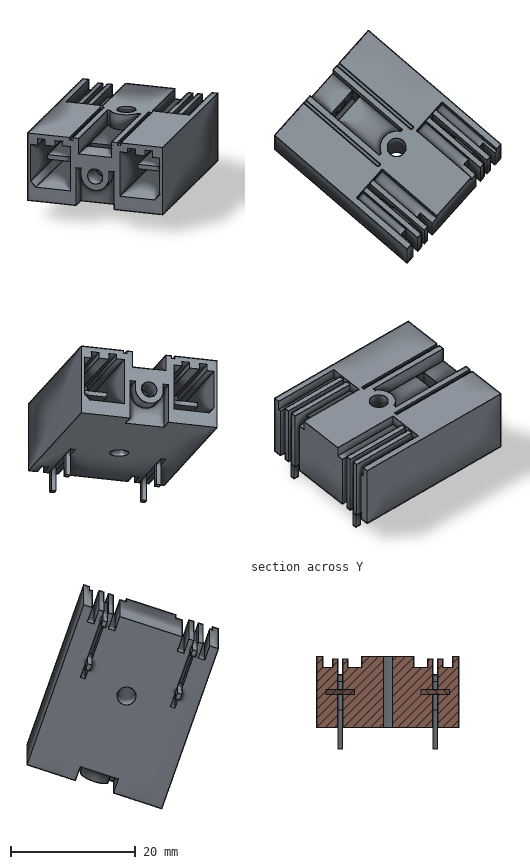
import cadquery as cq

WIDTH = 22.87
LENGTH = 28.3
HEIGHT = 11.43
PIN_PROJECTION = 3.48

STATION_X = 15.25 / 2

POCKET_OUTER_X = WIDTH / 2 - 0.55
POCKET_INNER_X = 4.2
POCKET_FLOOR_Z = 2.38
POCKET_LENGTH = 15.56
POCKET_CHAMFER_WIDTH = 0.88
POCKET_CHAMFER_HEIGHT = 0.95
POCKET_OUTER_TOP_Z = HEIGHT - 1.87
POCKET_INNER_TOP_Z = HEIGHT - 1.53
KEY_TOP_Z = HEIGHT - 1.75
KEYWAY_TOP_Z = HEIGHT - 0.8
KEYWAY_NEAR = 0.82
KEYWAY_FAR = 2.12

RECESS_FRONT_Y = 16.65
RECESS_OUTER_X = 10.41
RECESS_DEPTH = 1.75
FIN_OUTER_HALF = 1.22
FIN_TOP_Z = HEIGHT - 0.42
NOTCH_HALF = 2.32
NOTCH_LENGTH = 2.52

SHEET = 0.75
BLADE_WIDTH = 4.53
BLADE_TOP_Z = HEIGHT - 5.35
BLADE_TIP_Y = 5.65
PLATE_FRONT_Y = 19.15
PLATE_REAR_Y = LENGTH - 0.55
PLATE_BOTTOM_Z = 2.83
PLATE_TOP_Z = 8.5
SHOULDER_Y = 21.65
SHOULDER_Z = 7.35
SLOPE_FRONT_Y = 25.47
SLOPE_DROP = 1.13
PIN_LENGTH = 1.0
PIN_PITCH = 7.65

CHANNEL_WIDTH = 5.6
CHANNEL_DEPTH = 2.63
CHANNEL_LENGTH = 14.8
HOLE_Y = 16.05
HOLE_DIAMETER = 3.0
BOSS_RADIUS = 2.65

BORE_Z = HEIGHT - 6.17
BORE_DIAMETER = 2.55
HUB_RADIUS = 2.35
UNDERCUT_WIDTH = 6.45
UNDERCUT_TOP_Z = HEIGHT - 5.0
UNDERCUT_LENGTH = 2.45
NUT_WIDTH = 5.35
NUT_THICKNESS = 1.55
NUT_FRONT_Y = 4.2

GROOVE_INNER_X = 3.75
GROOVE_WIDTH = 0.57
GROOVE_DEPTH = 0.42
GROOVE_LENGTH = 15.9


def block(x_range, y_range, z_range):
    """Box between the given limits on each axis."""
    (x0, x1), (y0, y1), (z0, z1) = x_range, y_range, z_range
    return cq.Workplane("XY").box(x1 - x0, y1 - y0, z1 - z0, centered=False).translate((x0, y0, z0))


def centred(width, x=0):
    """Limits of a span of the given width about x."""
    return (x - width / 2, x + width / 2)


def left_copy(shape):
    """Mirror image of a right-hand shape."""
    return shape.mirror("YZ")


def plug_pocket():
    """Right-hand plug pocket with two keyways in its roof."""
    outline = [
        (POCKET_INNER_X, POCKET_FLOOR_Z),
        (POCKET_OUTER_X - POCKET_CHAMFER_WIDTH, POCKET_FLOOR_Z),
        (POCKET_OUTER_X, POCKET_FLOOR_Z + POCKET_CHAMFER_HEIGHT),
        (POCKET_OUTER_X, POCKET_OUTER_TOP_Z),
        (STATION_X + KEYWAY_FAR, POCKET_OUTER_TOP_Z),
        (STATION_X + KEYWAY_FAR, KEYWAY_TOP_Z),
        (STATION_X + KEYWAY_NEAR, KEYWAY_TOP_Z),
        (STATION_X + KEYWAY_NEAR, KEY_TOP_Z),
        (STATION_X - KEYWAY_NEAR, KEY_TOP_Z),
        (STATION_X - KEYWAY_NEAR, KEYWAY_TOP_Z),
        (STATION_X - KEYWAY_FAR, KEYWAY_TOP_Z),
        (STATION_X - KEYWAY_FAR, POCKET_INNER_TOP_Z),
        (POCKET_INNER_X, POCKET_INNER_TOP_Z),
    ]
    return cq.Workplane("XZ").polyline(outline).close().extrude(-POCKET_LENGTH)


def rear_recess():
    """Right-hand rear recess around the fins, with through notches and the contact slot."""
    recess_y = (RECESS_FRONT_Y, LENGTH)
    recess = block((POCKET_INNER_X, RECESS_OUTER_X), recess_y, (HEIGHT - RECESS_DEPTH, HEIGHT))
    notches = block(centred(2 * NOTCH_HALF, STATION_X), (LENGTH - NOTCH_LENGTH, LENGTH), (0, HEIGHT))
    fins = block(centred(2 * FIN_OUTER_HALF, STATION_X), recess_y, (0, FIN_TOP_Z))
    slot = block(centred(SHEET, STATION_X), recess_y, (0, HEIGHT))
    return recess.union(notches).cut(fins).union(slot)


def top_groove():
    """Right-hand narrow groove in the top."""
    groove_x = (GROOVE_INNER_X, GROOVE_INNER_X + GROOVE_WIDTH)
    return block(groove_x, (0, GROOVE_LENGTH), (HEIGHT - GROOVE_DEPTH, HEIGHT))


def screw_channel():
    """Channel in the top, ending around the screw boss."""
    channel = block(centred(CHANNEL_WIDTH), (0, CHANNEL_LENGTH), (HEIGHT - CHANNEL_DEPTH, HEIGHT))
    boss = cq.Workplane("XY").center(0, HOLE_Y).circle(BOSS_RADIUS).extrude(HEIGHT)
    return channel.cut(boss)


def screw_hole():
    """Vertical through hole in the boss."""
    return cq.Workplane("XY").center(0, HOLE_Y).circle(HOLE_DIAMETER / 2).extrude(HEIGHT)


def hub_undercut():
    """Space at the front around the hanging hub, open below."""
    space = block(centred(UNDERCUT_WIDTH), (0, UNDERCUT_LENGTH), (0, UNDERCUT_TOP_Z))
    hub = cq.Workplane("XZ").center(0, BORE_Z).circle(HUB_RADIUS).extrude(-UNDERCUT_LENGTH)
    web = block(centred(2 * HUB_RADIUS), (0, UNDERCUT_LENGTH), (BORE_Z, UNDERCUT_TOP_Z))
    return space.cut(hub).cut(web)


def nut_trap():
    """Front bore leading into a slot for a square nut, open to the channel."""
    nut_rear_y = NUT_FRONT_Y + NUT_THICKNESS
    bore = cq.Workplane("XZ").center(0, BORE_Z).circle(BORE_DIAMETER / 2).extrude(-nut_rear_y)
    slot_z = (BORE_Z - NUT_WIDTH / 2, HEIGHT - CHANNEL_DEPTH)
    return bore.union(block(centred(NUT_WIDTH), (NUT_FRONT_Y, nut_rear_y), slot_z))


def make_contact():
    """Right-hand contact: plate, pins and blade in one piece."""
    profile = [
        (PLATE_FRONT_Y, PLATE_BOTTOM_Z),
        (PLATE_REAR_Y, PLATE_BOTTOM_Z),
        (PLATE_REAR_Y, PLATE_TOP_Z - SLOPE_DROP),
        (SLOPE_FRONT_Y, PLATE_TOP_Z),
        (SHOULDER_Y, PLATE_TOP_Z),
        (SHOULDER_Y, SHOULDER_Z),
        (PLATE_FRONT_Y, SHOULDER_Z),
    ]
    plate = cq.Workplane("YZ").polyline(profile).close().extrude(SHEET / 2, both=True)
    contact = plate.translate((STATION_X, 0, 0))
    for rear_y in (PLATE_REAR_Y, PLATE_REAR_Y - PIN_PITCH):
        pin_y = (rear_y - PIN_LENGTH, rear_y)
        contact = contact.union(block(centred(SHEET, STATION_X), pin_y, (-PIN_PROJECTION, PLATE_BOTTOM_Z)))
    blade_z = (BLADE_TOP_Z - SHEET, BLADE_TOP_Z)
    blade = block(centred(BLADE_WIDTH, STATION_X), (BLADE_TIP_Y, PLATE_FRONT_Y), blade_z)
    return contact.union(blade)


def make_housing(contacts):
    """Housing with every opening cut, including the seats of the contacts."""
    housing = block(centred(WIDTH), (0, LENGTH), (0, HEIGHT))
    for opening in (plug_pocket(), rear_recess(), top_groove()):
        housing = housing.cut(opening).cut(left_copy(opening))
    for opening in (screw_channel(), screw_hole(), hub_undercut(), nut_trap()):
        housing = housing.cut(opening)
    for contact in contacts:
        housing = housing.cut(contact)
    return housing


right_contact = make_contact()
contacts = [right_contact, left_copy(right_contact)]
housing = make_housing(contacts)

result = cq.Compound.makeCompound([housing.val(), *[contact.val() for contact in contacts]])